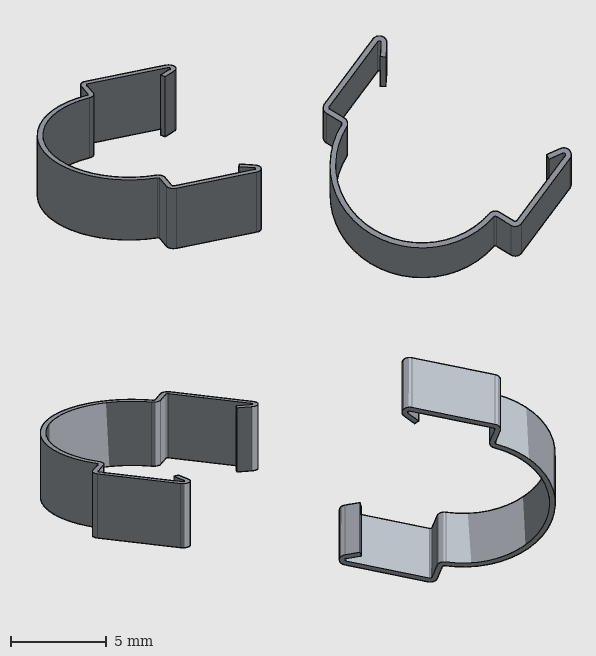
import cadquery as cq
import math


thickness = 0.3
strip_width = 3.6
clip_width = 12.4
clip_depth = 9.83
cradle_inner_radius = 4.5
bend_inner_radius = 0.1
hook_angle = 30.0
hook_leg_length = 0.8

cradle_centre = (0.0, 0.0)
cradle_outer_radius = cradle_inner_radius + thickness
bend_outer_radius = bend_inner_radius + thickness
wall_outer_x = -clip_width / 2
step_inner_y = 0.0
step_outer_y = step_inner_y - thickness
hook_top_y = clip_depth - cradle_outer_radius

corner_x = wall_outer_x + bend_outer_radius
hook_bend = (corner_x, hook_top_y - bend_outer_radius)
corner_bend = (corner_x, step_outer_y + bend_outer_radius)
shoulder_distance = cradle_outer_radius + bend_inner_radius
shoulder_y = step_outer_y - bend_inner_radius
shoulder_bend = (-math.sqrt(shoulder_distance**2 - shoulder_y**2), shoulder_y)

RIGHT = 0.0
UP = 90.0
LEFT = 180.0
DOWN = 270.0
shoulder_to_cradle = math.degrees(math.atan2(-shoulder_bend[1], -shoulder_bend[0]))
cradle_to_shoulder = shoulder_to_cradle + LEFT
hook_leg_normal = RIGHT + hook_angle
hook_leg_direction = hook_leg_normal - UP


def polar(centre, radius, angle):
    """Point at the given radius and angle (degrees) from a centre."""
    radians = math.radians(angle)
    return (centre[0] + radius * math.cos(radians), centre[1] + radius * math.sin(radians))


def continue_arc(outline, centre, radius, start_angle, end_angle):
    """Arc from the current point, which already lies at start_angle."""
    middle = polar(centre, radius, (start_angle + end_angle) / 2)
    end = polar(centre, radius, end_angle)
    return outline.threePointArc(middle, end)


def line_and_arc(outline, centre, radius, start_angle, end_angle):
    """Straight line to the start of an arc, then the arc itself."""
    outline = outline.lineTo(*polar(centre, radius, start_angle))
    return continue_arc(outline, centre, radius, start_angle, end_angle)


def hook_tip(bend_radius):
    """End of the hook leg on the face with the given bend radius."""
    leg_start = polar(hook_bend, bend_radius, hook_leg_normal)
    return polar(leg_start, hook_leg_length, hook_leg_direction)


def make_left_half():
    """Left half of the strip, from the cradle bottom to the hook tip."""
    outline = cq.Workplane("XY").moveTo(*polar(cradle_centre, cradle_outer_radius, DOWN))

    outline = continue_arc(outline, cradle_centre, cradle_outer_radius, DOWN, cradle_to_shoulder)
    outline = continue_arc(outline, shoulder_bend, bend_inner_radius, shoulder_to_cradle, UP)
    outline = line_and_arc(outline, corner_bend, bend_outer_radius, DOWN, LEFT)
    outline = line_and_arc(outline, hook_bend, bend_outer_radius, LEFT, hook_leg_normal)
    outline = outline.lineTo(*hook_tip(bend_outer_radius))

    outline = outline.lineTo(*hook_tip(bend_inner_radius))
    outline = line_and_arc(outline, hook_bend, bend_inner_radius, hook_leg_normal, LEFT)
    outline = line_and_arc(outline, corner_bend, bend_inner_radius, LEFT, DOWN)
    outline = line_and_arc(outline, shoulder_bend, bend_outer_radius, UP, shoulder_to_cradle)
    outline = continue_arc(outline, cradle_centre, cradle_inner_radius, cradle_to_shoulder, DOWN)
    return outline.close().extrude(strip_width)


left_half = make_left_half()
result = left_half.union(left_half.mirror("YZ")).clean()